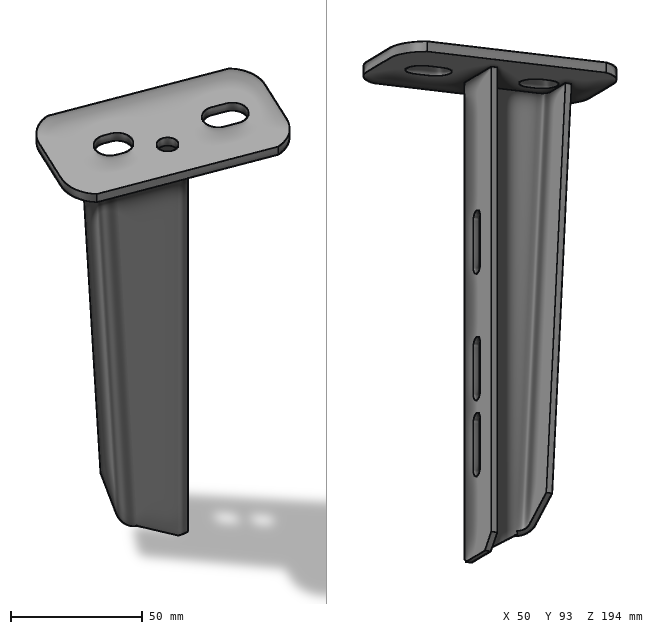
import cadquery as cq
import math

total_height = 194.0

plate_width = 50.0
plate_length = 93.0
plate_thickness = 4.0
plate_corner_x = 14.0
plate_corner_y = 9.1
plate_slot_width = 12.5
rear_slot_length = 18.2
rear_slot_y = 25.6
front_slot_length = 15.3
front_slot_y = -20.4
round_hole_diameter = 8.3
round_hole_x = 8.0
round_hole_y = -1.4

sheet = 2.5
bend_radius = 6.0
channel_left = -15.1
channel_right = 15.0
front_flange_left = -5.8
rear_face_y = 6.2
front_top_y = -31.5
front_bottom_y = -22.1
channel_height = total_height - plate_thickness

rear_chamfer = 6.0
trim_slope = 0.6
rear_bend_trim = 0.5

flange_slot_width = 6.5
flange_slot_length = 25.0
flange_slot_x = -1.5
flange_slot_heights = (43.8, 74.0, 124.0)

bend_start_x = channel_right - bend_radius
lean = (front_bottom_y - front_top_y) / channel_height
lean_stretch = math.hypot(1, lean)
web_rear_y = rear_face_y - bend_radius
web_rear_z = rear_bend_trim + trim_slope * bend_radius
front_bend_depth = bend_radius * lean_stretch
web_front_y = (front_bottom_y + front_bend_depth - lean * (web_rear_z + trim_slope * web_rear_y)) / (
    1 - lean * trim_slope
)
web_front_z = web_rear_z + trim_slope * (web_rear_y - web_front_y)
beyond = 97.0


def plate_hole_plane(x, y):
    """Plane on the underside of the plate, centred on a hole."""
    return cq.Workplane("XY", origin=(x, y, channel_height))


def make_plate():
    """Flat plate whose corner arcs run smoothly into its short edges only."""
    half_x = plate_width / 2
    half_y = plate_length / 2
    flat_x = half_x - plate_corner_x
    flat_y = half_y - plate_corner_y
    corner_radius = (plate_corner_x**2 + plate_corner_y**2) / (2 * plate_corner_y)
    plate = (
        cq.Workplane("XY", origin=(0, 0, channel_height))
        .moveTo(-flat_x, half_y)
        .lineTo(flat_x, half_y)
        .radiusArc((half_x, flat_y), corner_radius)
        .lineTo(half_x, -flat_y)
        .radiusArc((flat_x, -half_y), corner_radius)
        .lineTo(-flat_x, -half_y)
        .radiusArc((-half_x, -flat_y), corner_radius)
        .lineTo(-half_x, flat_y)
        .radiusArc((-flat_x, half_y), corner_radius)
        .close()
        .extrude(plate_thickness)
    )
    rear_slot = plate_hole_plane(0, rear_slot_y).slot2D(rear_slot_length, plate_slot_width, 90)
    front_slot = plate_hole_plane(0, front_slot_y).slot2D(front_slot_length, plate_slot_width, 90)
    round_hole = plate_hole_plane(round_hole_x, round_hole_y).circle(round_hole_diameter / 2)
    for hole in (rear_slot, front_slot, round_hole):
        plate = plate.cut(hole.extrude(plate_thickness))
    return plate


def tapered_block(inset, right, radius):
    """Block with a leaning front, set in from the channel's faces and rounded on the right."""
    front_inset = inset * lean_stretch
    return (
        cq.Workplane("YZ", origin=(channel_left, 0, 0))
        .polyline([
            (rear_face_y - inset, 0),
            (rear_face_y - inset, channel_height),
            (front_top_y + front_inset, channel_height),
            (front_bottom_y + front_inset, 0),
        ])
        .close()
        .extrude(right - channel_left)
        .faces(">X")
        .edges("not |Y")
        .fillet(radius)
    )


def front_trim():
    """Removes the sloping lower end of the front flange and its bend."""
    rise = trim_slope * (channel_right - channel_left)
    return (
        cq.Workplane("XZ", origin=(0, web_front_y, 0))
        .polyline([
            (channel_left, 0),
            (channel_right, 0),
            (channel_right, web_front_z),
            (channel_left, web_front_z + rise),
        ])
        .close()
        .extrude(beyond)
    )


def web_trim():
    """Removes the sloping lower end of the web."""
    return (
        cq.Workplane("YZ", origin=(bend_start_x, 0, 0))
        .polyline([
            (web_rear_y, 0),
            (web_rear_y, web_rear_z),
            (web_front_y, web_front_z),
            (web_front_y, 0),
        ])
        .close()
        .extrude(bend_radius)
    )


def rear_bend_end_trim():
    """Removes the sloping lower end of the rear bend."""
    return (
        cq.Workplane("XZ", origin=(0, rear_face_y, 0))
        .polyline([
            (bend_start_x, 0),
            (bend_start_x, rear_bend_trim),
            (channel_right, web_rear_z),
            (channel_right, 0),
        ])
        .close()
        .extrude(bend_radius)
    )


def rear_corner_trim():
    """Removes the free lower corner of the rear flange."""
    return (
        cq.Workplane("XZ", origin=(0, rear_face_y, 0))
        .polyline([
            (channel_left, 0),
            (channel_left + rear_chamfer, 0),
            (channel_left, rear_chamfer),
        ])
        .close()
        .extrude(sheet)
    )


def front_flange_side_trim():
    """Shortens the front flange along X."""
    return (
        cq.Workplane("XZ", origin=(0, rear_face_y - sheet, 0))
        .moveTo(channel_left, 0)
        .lineTo(front_flange_left, 0)
        .lineTo(front_flange_left, channel_height)
        .lineTo(channel_left, channel_height)
        .close()
        .extrude(beyond)
    )


def front_top_trim():
    """Squares the upper end of the front flange and its bend to the lean, leaving a sliver of gap."""
    bend_end_y = front_top_y + front_bend_depth
    return (
        cq.Workplane("YZ", origin=(channel_left, 0, 0))
        .polyline([
            (bend_end_y, channel_height),
            (bend_end_y - beyond, channel_height),
            (bend_end_y - beyond, channel_height - lean * beyond),
        ])
        .close()
        .extrude(channel_right - channel_left)
    )


def flange_slots():
    """Upright slots through the rear flange."""
    return (
        cq.Workplane("XZ", origin=(0, rear_face_y, 0))
        .pushPoints([(flange_slot_x, height) for height in flange_slot_heights])
        .slot2D(flange_slot_length, flange_slot_width, 90)
        .extrude(sheet)
    )


def make_channel():
    """Bent sheet channel, open towards -X, narrowing towards its lower end."""
    outside = tapered_block(0, channel_right, bend_radius)
    inside = tapered_block(sheet, channel_right - sheet, bend_radius - sheet)
    return (
        outside.cut(inside)
        .cut(front_flange_side_trim())
        .cut(front_trim())
        .cut(front_top_trim())
        .cut(web_trim())
        .cut(rear_bend_end_trim())
        .cut(rear_corner_trim())
        .cut(flange_slots())
    )


plate = make_plate()
channel = make_channel()
result = cq.Compound.makeCompound([plate.val(), channel.val()])